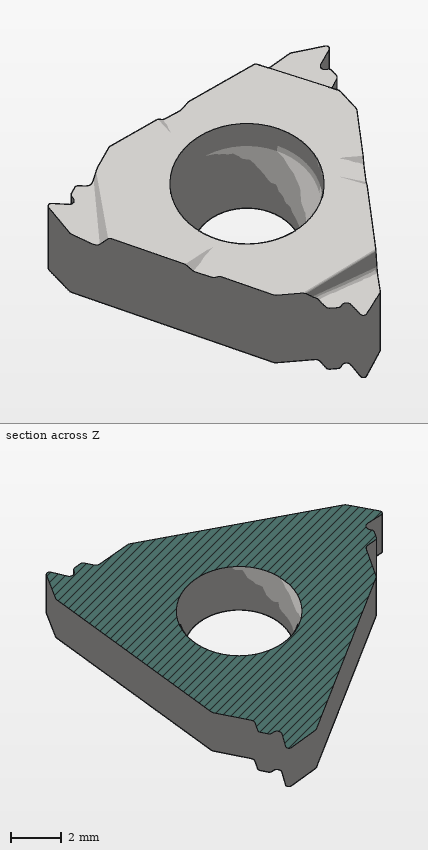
import cadquery as cq
import math


TIP_COUNT = 3
TIP_STEP = 360 / TIP_COUNT

INSCRIBED_RADIUS = 9.525 / 2
THICKNESS = 4.32

SHOULDER_Y = 5.79
SIDE_NORMAL = math.radians(60)
SHOULDER_X = (INSCRIBED_RADIUS - SHOULDER_Y * math.sin(SIDE_NORMAL)) / math.cos(SIDE_NORMAL)
CORNER_RADIUS = 0.25
FLANK_START_Y = 5.594
TIP_APEX = (-3.948, 7.070)
TIP_RADIUS = 0.142
VALLEY = (-3.338, 5.874)
VALLEY_RADIUS = 0.2
CREST_Y = 6.34
CREST_X_NEAR = -3.069
CREST_X_FAR = -2.560
CREST_RADIUS = 0.16
ROOT_X = -2.243
ROOT_RADIUS = 0.2

BORE_RADIUS = 4.4 / 2
HEAD_RADIUS = 6.15 / 2
HEAD_DEPTH = 1.05
HEAD_TAPER = 0.05
SEAT_RADIUS = 5.9 / 2
SEAT_DEPTH = 1.3
SEAT_BOTTOM_DEPTH = 3.6

GROOVE_EDGE_X = 5.82
GROOVE_ROOT_X = 6.17
GROOVE_ROOT_DEPTH = 0.61
GROOVE_FLOOR_SLOPE = 0.151
GROOVE_OUTER_X = 9.0
GROOVE_HALF_LENGTH = 4.0
GROOVE_DRIFT = 0.026
GROOVE_FALL = 0.10
GROOVE_ROOT_RADIUS = 0.34
GROOVE_EDGE_RADIUS = 0.15

NOTCH_LENGTH = 1.36
NOTCH_DEPTH = 0.255
NOTCH_FLOOR_WIDTH = 0.65
NOTCH_CENTER_Y = -0.22
NOTCH_SKEW = -13.5
NOTCH_WALL_ANGLE = 39
NOTCH_ROOT_RADIUS = 0.26
NOTCH_EDGE_RADIUS = 0.12

CLEARANCE = 1.0


def rotated(point, degrees):
    """Turn a plan point about the bore axis."""
    angle = math.radians(degrees)
    x, y = point
    return (
        x * math.cos(angle) - y * math.sin(angle),
        x * math.sin(angle) + y * math.cos(angle),
    )


def corner_arc(before, corner, after, radius):
    """Start, middle and end of the arc that rounds a corner between two straight lines."""
    here = cq.Vector(*corner)
    back = (cq.Vector(*before) - here).normalized()
    ahead = (cq.Vector(*after) - here).normalized()
    half_angle = back.getAngle(ahead) / 2
    tangent_length = radius / math.tan(half_angle)
    bisector = (back + ahead).normalized()
    middle_length = radius / math.sin(half_angle) - radius
    return (
        here + back * tangent_length,
        here + bisector * middle_length,
        here + ahead * tangent_length,
    )


def rounded_outline(plane, corners):
    """Closed outline through (point, radius) corners; a radius of zero leaves the corner sharp."""
    sketch = cq.Workplane(plane)
    started = False
    for index, (point, radius) in enumerate(corners):
        before = corners[index - 1][0]
        after = corners[(index + 1) % len(corners)][0]
        if radius:
            start, middle, end = corner_arc(before, point, after, radius)
        else:
            start = cq.Vector(*point)
        sketch = sketch.lineTo(start.x, start.y) if started else sketch.moveTo(start.x, start.y)
        if radius:
            sketch = sketch.threePointArc((middle.x, middle.y), (end.x, end.y))
        started = True
    return sketch.close()


def make_body():
    """Triangular plate with truncated corners and one tooth beside each corner."""
    tooth = [
        ((-INSCRIBED_RADIUS, FLANK_START_Y), CORNER_RADIUS),
        (TIP_APEX, TIP_RADIUS),
        (VALLEY, VALLEY_RADIUS),
        ((CREST_X_NEAR, CREST_Y), CREST_RADIUS),
        ((CREST_X_FAR, CREST_Y), CREST_RADIUS),
        ((ROOT_X, SHOULDER_Y), ROOT_RADIUS),
        ((SHOULDER_X, SHOULDER_Y), CORNER_RADIUS),
    ]
    corners = []
    for index in range(TIP_COUNT):
        corners += [(rotated(point, -index * TIP_STEP), radius) for point, radius in tooth]
    return rounded_outline("XY", corners).extrude(THICKNESS)


def make_screw_hole():
    """Straight head recess, short cone, and a convex seat running tangent into the bore."""
    seat_top = THICKNESS - SEAT_DEPTH
    seat_bottom = THICKNESS - SEAT_BOTTOM_DEPTH
    head_bottom = THICKNESS - HEAD_DEPTH
    seat_width = SEAT_RADIUS - BORE_RADIUS
    return (
        cq.Workplane("XZ")
        .moveTo(0, 0)
        .lineTo(BORE_RADIUS, 0)
        .lineTo(BORE_RADIUS, seat_bottom)
        .tangentArcPoint((seat_width, seat_top - seat_bottom))
        .lineTo(HEAD_RADIUS - HEAD_TAPER, head_bottom)
        .lineTo(HEAD_RADIUS, THICKNESS)
        .lineTo(0, THICKNESS)
        .close()
        .revolve(360, (0, 0, 0), (0, 1, 0))
    )


def make_groove():
    """Prism that lowers one tip: steep wall, rounded root and a floor rising to the tip."""
    root_z = THICKNESS - GROOVE_ROOT_DEPTH
    outer_z = root_z + GROOVE_FLOOR_SLOPE * (GROOVE_OUTER_X - GROOVE_ROOT_X)
    wall_run = (GROOVE_ROOT_X - GROOVE_EDGE_X) / GROOVE_ROOT_DEPTH
    corners = [
        ((GROOVE_EDGE_X - wall_run * CLEARANCE, THICKNESS + CLEARANCE), 0),
        ((GROOVE_ROOT_X, root_z), GROOVE_ROOT_RADIUS),
        ((GROOVE_OUTER_X, outer_z), 0),
        ((GROOVE_OUTER_X, THICKNESS + CLEARANCE), 0),
    ]
    direction = cq.Vector(GROOVE_DRIFT, 1, -GROOVE_FALL)
    section = rounded_outline("XZ", corners).val().moved(cq.Location(direction * -GROOVE_HALF_LENGTH))
    prism = cq.Solid.extrudeLinear(section, [], direction * (2 * GROOVE_HALF_LENGTH))
    return cq.Workplane(prism)


def make_notch():
    """Flared trough whose floor climbs from the rim of the -X side up to the top face."""
    slope = NOTCH_DEPTH / NOTCH_LENGTH
    outer_depth = NOTCH_DEPTH + slope * CLEARANCE
    height = outer_depth + CLEARANCE
    flare = height / math.tan(math.radians(NOTCH_WALL_ANGLE))
    floor_half = NOTCH_FLOOR_WIDTH / 2
    root_half = floor_half + NOTCH_ROOT_RADIUS * math.tan(math.radians(NOTCH_WALL_ANGLE / 2))
    corners = [
        ((-root_half, -outer_depth), NOTCH_ROOT_RADIUS),
        ((root_half, -outer_depth), NOTCH_ROOT_RADIUS),
        ((root_half + flare, height - outer_depth), 0),
        ((-root_half - flare, height - outer_depth), 0),
    ]
    length = CLEARANCE + NOTCH_LENGTH + CLEARANCE
    section = rounded_outline("YZ", corners).val()
    trough = cq.Solid.extrudeLinear(section, [], cq.Vector(length, 0, slope * length))
    return (
        cq.Workplane(trough)
        .translate((-CLEARANCE, 0, THICKNESS))
        .rotate((0, 0, 0), (0, 0, 1), NOTCH_SKEW)
        .translate((-INSCRIBED_RADIUS, NOTCH_CENTER_Y, 0))
    )


def around_tips(part):
    """Copies of one feature at the three tips."""
    return [part.rotate((0, 0, 0), (0, 0, 1), index * TIP_STEP) for index in range(TIP_COUNT)]


def cut_grooves(body):
    """Lower the three tips and round the upper edge of each groove wall."""
    for groove in around_tips(make_groove()):
        body = body.cut(groove)
    for index in range(TIP_COUNT):
        x, y = rotated((GROOVE_EDGE_X, 0), index * TIP_STEP)
        edge = cq.selectors.NearestToPointSelector((x, y, THICKNESS))
        body = body.edges(edge).fillet(GROOVE_EDGE_RADIUS)
    return body


def cut_notches(body):
    """Cut the three rim notches and round their upper edges, each a single tangent chain."""
    for notch in around_tips(make_notch()):
        body = body.cut(notch)
    end_x, end_y = rotated((NOTCH_LENGTH, 0), NOTCH_SKEW)
    for index in range(TIP_COUNT):
        x, y = rotated((end_x - INSCRIBED_RADIUS, end_y + NOTCH_CENTER_Y), index * TIP_STEP)
        edge = cq.selectors.NearestToPointSelector((x, y, THICKNESS))
        body = body.edges(edge).fillet(NOTCH_EDGE_RADIUS)
    return body


result = cut_notches(cut_grooves(make_body()).cut(make_screw_hole()))